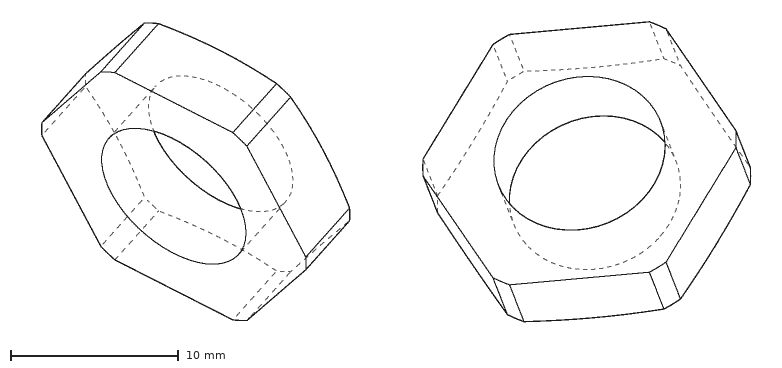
import cadquery as cq
import math

corner_diameter = 19.0
across_flats = 17.0
thickness = 5.0
bore_diameter = 10.37

chamfer_face_radius = 8.36
chamfer_angle = 16.0

corner_radius = corner_diameter / 2
chamfer_drop = (corner_radius - chamfer_face_radius) * math.tan(math.radians(chamfer_angle))


def hexagonal_prism():
    """Sharp-cornered hexagon from Y = 0 to Y = thickness."""
    across_corners = across_flats / math.cos(math.radians(30))
    return cq.Workplane("XZ").polygon(6, across_corners).extrude(-thickness)


def turned_envelope():
    """Round blank that trims the corners and cuts the conical chamfer."""
    half_profile = (
        cq.Workplane("XY")
        .lineTo(corner_radius, 0)
        .lineTo(corner_radius, thickness - chamfer_drop)
        .lineTo(chamfer_face_radius, thickness)
        .lineTo(0, thickness)
        .close()
    )
    return half_profile.revolve(360, (0, 0, 0), (0, 1, 0))


def bore():
    """Plain hole through the full thickness."""
    return cq.Workplane("XZ").circle(bore_diameter / 2).extrude(-thickness)


result = hexagonal_prism().intersect(turned_envelope()).cut(bore())